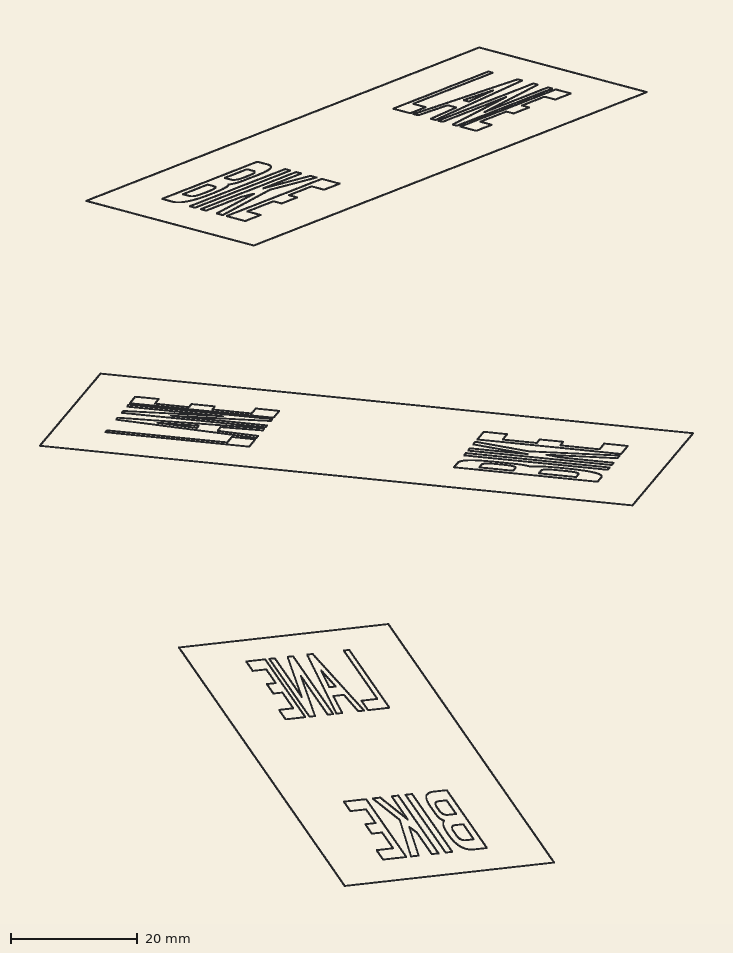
import cadquery as cq

PLATE_WIDTH = 34.29
PLATE_LENGTH = 97.35
TOTAL_HEIGHT = 0.1
PLATE_THICKNESS = TOTAL_HEIGHT / 2
LETTER_THICKNESS = TOTAL_HEIGHT - PLATE_THICKNESS

WORD_WIDTH = 17.0
WORD_LEFT_MARGIN = 8.7
WORD_LEFT = -PLATE_WIDTH / 2 + WORD_LEFT_MARGIN
CAP_HEIGHT = 23.6
WORD_MARGIN = 8.25
BIKE_BASELINE = -PLATE_LENGTH / 2 + WORD_MARGIN
LANE_BASELINE = PLATE_LENGTH / 2 - WORD_MARGIN - CAP_HEIGHT

BAR = 3.85
BIKE_STEM = 1.09
LANE_STEM = 0.9

B_WIDTH = 4.45
I_LEFT = 5.67
K_LEFT = 7.93
K_WIDTH = 4.5
BIKE_E_WIDTH = 3.8
BIKE_E_LEFT = WORD_WIDTH - BIKE_E_WIDTH
L_WIDTH = 3.5
A_LEFT = 4.15
A_WIDTH = 4.52
N_LEFT = 9.2
N_WIDTH = 3.88
LANE_E_WIDTH = 3.24
LANE_E_LEFT = WORD_WIDTH - LANE_E_WIDTH

E_TOP_ARM = 0.96
E_MIDDLE_ARM = 0.73
E_MIDDLE_BOTTOM = 10.3

B_UPPER_BOWL = 4.2
B_FLAT = 2.1
B_WAIST_X = 3.6
B_WAIST_Y = 12.1
B_WAIST_ROUNDING = 1.0
B_UPPER_BOWL_TOP = 18.6
B_UPPER_BOWL_BOTTOM = 15.0
B_LOWER_BOWL_TOP = 7.4
B_LOWER_BOWL_BOTTOM = 6.5
B_COUNTER_RIGHT = 3.3
B_COUNTER_FLAT = 2.4
B_LOWER_COUNTER_TOP = 10.0
B_UPPER_COUNTER_BOTTOM = 14.2
B_COUNTER_ROUNDING = 2.2

K_UPPER_CROTCH_Y = 14.1
K_ARM_LEFT = 2.95
K_ARM_RIGHT = 4.2
K_ELBOW_X = 2.35
K_ELBOW_Y = 14.3
K_LEG_LEFT = 3.25
K_LOWER_CROTCH_X = 1.65
K_LOWER_CROTCH_Y = 11.2
K_LOWER_STEM_Y = 8.8

A_APEX_LEFT = 1.83
A_APEX_RIGHT = 2.75
A_FOOT = 0.95
A_CROSSBAR_BOTTOM = 6.8
A_CROSSBAR_TOP = 10.3
A_COUNTER_APEX = 17.0
A_GAP_LEFT = 1.4
A_GAP_RIGHT = 3.15
A_COUNTER_LEFT = 1.75
A_COUNTER_RIGHT = 2.82

N_DIAGONAL_DROP = 7.8


def extrude_outline(outline):
    return outline.close().extrude(LETTER_THICKNESS)


def letter_block(points):
    return extrude_outline(cq.Workplane("XY").polyline(points))


def letter_e(width, stem):
    top_arm = E_TOP_ARM * width
    middle_arm = E_MIDDLE_ARM * width
    middle_top = E_MIDDLE_BOTTOM + BAR
    return letter_block([
        (0, 0),
        (width, 0),
        (width, BAR),
        (stem, BAR),
        (stem, E_MIDDLE_BOTTOM),
        (middle_arm, E_MIDDLE_BOTTOM),
        (middle_arm, middle_top),
        (stem, middle_top),
        (stem, CAP_HEIGHT - BAR),
        (top_arm, CAP_HEIGHT - BAR),
        (top_arm, CAP_HEIGHT),
        (0, CAP_HEIGHT),
    ])


def b_counter(bottom, top):
    """Opening of a B bowl: square at the stem, rounded on the right."""
    right = B_COUNTER_RIGHT
    return extrude_outline(
        cq.Workplane("XY")
        .moveTo(BIKE_STEM, bottom)
        .lineTo(B_COUNTER_FLAT, bottom)
        .bezier([(right, bottom), (right, bottom + B_COUNTER_ROUNDING)], includeCurrent=True)
        .lineTo(right, top - B_COUNTER_ROUNDING)
        .bezier([(right, top), (B_COUNTER_FLAT, top)], includeCurrent=True)
        .lineTo(BIKE_STEM, top)
    )


def letter_b():
    waist = (B_WAIST_X, B_WAIST_Y)
    lower_corner = (B_WIDTH, B_WAIST_Y - B_WAIST_ROUNDING)
    upper_corner = (B_UPPER_BOWL, B_WAIST_Y + B_WAIST_ROUNDING)
    body = extrude_outline(
        cq.Workplane("XY")
        .lineTo(B_FLAT, 0)
        .bezier([(B_WIDTH, 0), (B_WIDTH, B_LOWER_BOWL_BOTTOM)], includeCurrent=True)
        .lineTo(B_WIDTH, B_LOWER_BOWL_TOP)
        .bezier([lower_corner, waist], includeCurrent=True)
        .bezier([upper_corner, (B_UPPER_BOWL, B_UPPER_BOWL_BOTTOM)], includeCurrent=True)
        .lineTo(B_UPPER_BOWL, B_UPPER_BOWL_TOP)
        .bezier([(B_UPPER_BOWL, CAP_HEIGHT), (B_FLAT, CAP_HEIGHT)], includeCurrent=True)
        .lineTo(0, CAP_HEIGHT)
    )
    lower_counter = b_counter(BAR, B_LOWER_COUNTER_TOP)
    upper_counter = b_counter(B_UPPER_COUNTER_BOTTOM, CAP_HEIGHT - BAR)
    return body.cut(lower_counter).cut(upper_counter)


def letter_i():
    return letter_block([(0, 0), (BIKE_STEM, 0), (BIKE_STEM, CAP_HEIGHT), (0, CAP_HEIGHT)])


def letter_k():
    return letter_block([
        (0, 0),
        (BIKE_STEM, 0),
        (BIKE_STEM, K_LOWER_STEM_Y),
        (K_LOWER_CROTCH_X, K_LOWER_CROTCH_Y),
        (K_LEG_LEFT, 0),
        (K_WIDTH, 0),
        (K_ELBOW_X, K_ELBOW_Y),
        (K_ARM_RIGHT, CAP_HEIGHT),
        (K_ARM_LEFT, CAP_HEIGHT),
        (BIKE_STEM, K_UPPER_CROTCH_Y),
        (BIKE_STEM, CAP_HEIGHT),
        (0, CAP_HEIGHT),
    ])


def letter_l():
    return letter_block([
        (0, 0),
        (L_WIDTH, 0),
        (L_WIDTH, BAR),
        (LANE_STEM, BAR),
        (LANE_STEM, CAP_HEIGHT),
        (0, CAP_HEIGHT),
    ])


def letter_a():
    body = letter_block([
        (0, 0),
        (A_FOOT, 0),
        (A_GAP_LEFT, A_CROSSBAR_BOTTOM),
        (A_GAP_RIGHT, A_CROSSBAR_BOTTOM),
        (A_WIDTH - A_FOOT, 0),
        (A_WIDTH, 0),
        (A_APEX_RIGHT, CAP_HEIGHT),
        (A_APEX_LEFT, CAP_HEIGHT),
    ])
    counter = letter_block([
        (A_COUNTER_LEFT, A_CROSSBAR_TOP),
        (A_COUNTER_RIGHT, A_CROSSBAR_TOP),
        ((A_APEX_LEFT + A_APEX_RIGHT) / 2, A_COUNTER_APEX),
    ])
    return body.cut(counter)


def letter_n():
    right_stem = N_WIDTH - LANE_STEM
    return letter_block([
        (0, 0),
        (LANE_STEM, 0),
        (LANE_STEM, CAP_HEIGHT - N_DIAGONAL_DROP),
        (right_stem, 0),
        (N_WIDTH, 0),
        (N_WIDTH, CAP_HEIGHT),
        (right_stem, CAP_HEIGHT),
        (right_stem, N_DIAGONAL_DROP),
        (LANE_STEM, CAP_HEIGHT),
        (0, CAP_HEIGHT),
    ])


def place_word(letters, baseline):
    """Set each letter on top of the plate at its own left edge along the baseline."""
    return [
        letter.translate((WORD_LEFT + left, baseline, PLATE_THICKNESS)).val()
        for letter, left in letters
    ]


plate = cq.Workplane("XY").box(PLATE_WIDTH, PLATE_LENGTH, PLATE_THICKNESS, centered=(True, True, False))

bike_letters = place_word(
    [
        (letter_b(), 0),
        (letter_i(), I_LEFT),
        (letter_k(), K_LEFT),
        (letter_e(BIKE_E_WIDTH, BIKE_STEM), BIKE_E_LEFT),
    ],
    BIKE_BASELINE,
)
lane_letters = place_word(
    [
        (letter_l(), 0),
        (letter_a(), A_LEFT),
        (letter_n(), N_LEFT),
        (letter_e(LANE_E_WIDTH, LANE_STEM), LANE_E_LEFT),
    ],
    LANE_BASELINE,
)

result = cq.Compound.makeCompound([plate.val(), *bike_letters, *lane_letters])